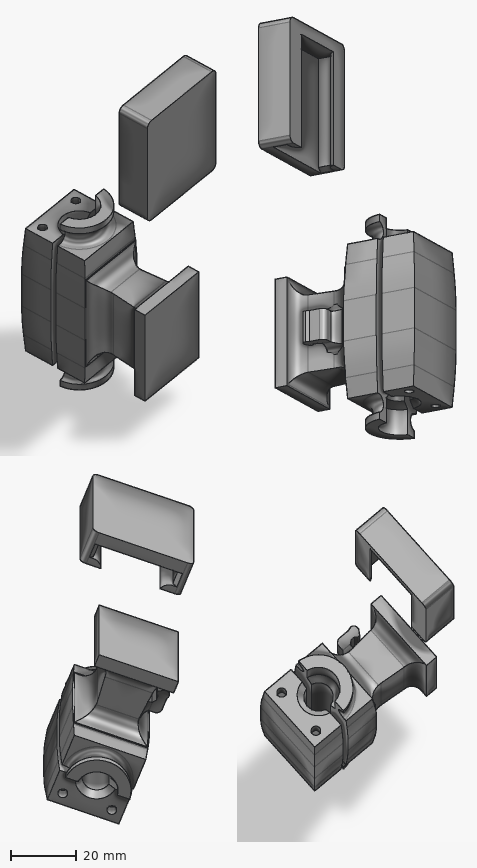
import cadquery as cq
import math


clamp_width = 25.1
clamp_height = 49.9
split_gap = 2.0
half_width = clamp_width / 2
half_height = clamp_height / 2

flat_half_height = 6.5
bulge_arc_height = 11.7
bulge_arc_inset = 0.4
taper_slope = math.tan(2 * math.atan(bulge_arc_inset / bulge_arc_height))
taper_height = half_height - flat_half_height - bulge_arc_height
taper_inset = taper_slope * taper_height

bore_diameter = 9.0
mouth_diameter = 13.1
cone_depth = (mouth_diameter - bore_diameter) / 2

pin_hole_diameter = 3.0
pin_hole_depth = 5.1
pin_hole_x = -8.0
pin_hole_spacing = 16.0

collar_diameter = 21.1
collar_height = 8.1
groove_radius = 3.0
groove_centre_radius = 11.2

neck_root_x = 19.2
neck_root_width = 14.0
neck_end_x = 27.9
neck_end_width = 15.6
neck_height = 25.0
root_fillet = 5.6
flange_front_x = 32.5
flange_back_x = 36.6
flange_width = 25.9
flange_height = 35.1
flange_ledge = 0.5
arm_embedment = 0.7

hook_height = 10.0
hook_left_x = 18.5
hook_right_x = 21.5
hook_tip_x = 26.7
hook_tip_top_y = 14.2
hook_tip_radius = 1.5
hook_tip_flat = 0.7
hook_barb_y = 10.3
hook_barb_width = 0.8
hook_top_y = 13.8
hook_corner = 1.9
hook_underside_y = 11.0
hook_underside_left_x = 22.7
hook_underside_right_x = 24.0
hook_foot_y = 10.0
hook_base_y = 5.3
hook_toe_x = 15.5
hook_toe_y = 8.4
hook_toe_radius = 3.6
foot_fillet = 3.1

receiver_front_x = 29.2
receiver_thickness = 11.2
receiver_width = 33.0
receiver_height = 40.6
receiver_bottom_z = 59.8
receiver_edge_radius = 2.0
slot_height = 36.6
slot_mouth_width = 19.2
slot_inner_width = 25.9
slot_shoulder_x = 31.6
slot_back_x = 36.5
slot_flare_radius = 3.6
lead_in_height = 1.5
lead_in_width = 1.3


def bulged_slab(plane):
    """Slab with the bulged outline in the given plane, wide enough to cover the clamp."""
    half_outline = (
        cq.Workplane(plane)
        .moveTo(0, -half_height)
        .lineTo(half_width - bulge_arc_inset - taper_inset, -half_height)
        .line(taper_inset, taper_height)
        .tangentArcPoint((bulge_arc_inset, bulge_arc_height))
        .line(0, 2 * flat_half_height)
        .tangentArcPoint((-bulge_arc_inset, bulge_arc_height))
        .line(-taper_inset, taper_height)
        .lineTo(0, half_height)
    )
    return half_outline.mirrorY().extrude(half_width, both=True)


def clamp_half(side):
    """Half of the bulged block on the given side of the split (-1 or +1 along X)."""
    block = bulged_slab("XZ").intersect(bulged_slab("YZ"))
    keep = cq.Workplane("XY").box(clamp_width, clamp_width, clamp_height)
    keep = keep.translate((side * (clamp_width + split_gap) / 2, 0, 0))
    return block.intersect(keep)


def bore_cutter():
    """Bore with a cone at each end of the clamp and a straight mouth beyond each cone."""
    bore_radius = bore_diameter / 2
    mouth_radius = mouth_diameter / 2
    collar_end = half_height + collar_height
    cone_bottom = half_height - cone_depth
    return (
        cq.Workplane("XZ")
        .polyline([
            (0, -collar_end),
            (mouth_radius, -collar_end),
            (mouth_radius, -half_height),
            (bore_radius, -cone_bottom),
            (bore_radius, cone_bottom),
            (mouth_radius, half_height),
            (mouth_radius, collar_end),
            (0, collar_end),
        ])
        .close()
        .revolve(360, (0, 0), (0, 1))
    )


def pin_holes():
    """Two blind holes in the top end and two in the bottom end."""
    holes = cq.Workplane("XY")
    for end_z in (-half_height, half_height):
        for y in (-pin_hole_spacing / 2, pin_hole_spacing / 2):
            hole = cq.Workplane("XY").circle(pin_hole_diameter / 2).extrude(pin_hole_depth, both=True)
            holes = holes.add(hole.translate((pin_hole_x, y, end_z)))
    return holes.combine()


def top_collar():
    """Grooved collar on the +X side of the split; its groove flares out onto the clamp's end."""
    collar_radius = collar_diameter / 2
    groove_z = half_height + groove_radius
    edge_rise = math.sqrt(groove_radius**2 - (groove_centre_radius - collar_radius) ** 2)
    groove_bottom = (groove_centre_radius - groove_radius, groove_z)
    groove_top = (collar_radius, groove_z + edge_rise)
    collar = (
        cq.Workplane("XZ")
        .moveTo(0, half_height)
        .lineTo(groove_centre_radius, half_height)
        .threePointArc(groove_bottom, groove_top)
        .lineTo(collar_radius, half_height + collar_height)
        .lineTo(0, half_height + collar_height)
        .close()
        .revolve(360, (0, 0), (0, 1))
    )
    keep = (
        cq.Workplane("XY")
        .box(clamp_width, clamp_width, 2 * collar_height)
        .translate(((clamp_width + split_gap) / 2, 0, half_height))
    )
    return collar.intersect(keep)


def arm():
    """Neck and flange: a plan outline crossed with a side outline."""
    start_x = half_width - arm_embedment
    flange_root = flange_width / 2 - flange_ledge
    flange_root_z = flange_height / 2 - flange_ledge
    plan = (
        cq.Workplane("XY")
        .moveTo(flange_back_x, 0)
        .lineTo(flange_back_x, flange_width / 2)
        .lineTo(flange_front_x, flange_width / 2)
        .lineTo(flange_front_x, flange_root)
        .radiusArc((neck_end_x, neck_end_width / 2), flange_front_x - neck_end_x)
        .lineTo(neck_root_x, neck_root_width / 2)
        .tangentArcPoint((half_width, half_width - flange_ledge), relative=False)
        .lineTo(start_x, half_width - flange_ledge)
        .lineTo(start_x, 0)
        .mirrorX()
        .extrude(flange_height / 2, both=True)
    )
    side = (
        cq.Workplane("XZ")
        .moveTo(flange_back_x, 0)
        .lineTo(flange_back_x, flange_height / 2)
        .lineTo(flange_front_x, flange_height / 2)
        .lineTo(flange_front_x, flange_root_z)
        .radiusArc((neck_end_x, neck_height / 2), flange_front_x - neck_end_x)
        .lineTo(half_width + root_fillet, neck_height / 2)
        .tangentArcPoint((half_width, neck_height / 2 + root_fillet), relative=False)
        .lineTo(start_x, neck_height / 2 + root_fillet)
        .lineTo(start_x, 0)
        .mirrorX()
        .extrude(flange_width / 2, both=True)
    )
    return plan.intersect(side)


def hook():
    """Hook whose foot flares onto the neck, lengthwise and across."""
    neck_y = neck_root_width / 2
    tip_centre_x = hook_tip_x - hook_tip_radius
    plan = (
        cq.Workplane("XY")
        .moveTo(hook_toe_x, hook_base_y)
        .lineTo(hook_toe_x, hook_toe_y)
        .radiusArc((hook_left_x, hook_foot_y), -hook_toe_radius)
        .lineTo(hook_left_x, hook_top_y - hook_corner)
        .tangentArcPoint((hook_corner, hook_corner))
        .lineTo(hook_underside_right_x, hook_top_y)
        .lineTo(tip_centre_x, hook_tip_top_y)
        .radiusArc((hook_tip_x, hook_tip_top_y - hook_tip_radius), hook_tip_radius)
        .lineTo(hook_tip_x, hook_tip_top_y - hook_tip_radius - hook_tip_flat)
        .lineTo(tip_centre_x + hook_barb_width / 2, hook_barb_y)
        .lineTo(tip_centre_x - hook_barb_width / 2, hook_barb_y)
        .lineTo(hook_underside_right_x, hook_underside_y)
        .lineTo(hook_underside_left_x, hook_underside_y)
        .lineTo(hook_right_x, hook_foot_y)
        .lineTo(hook_right_x, hook_base_y)
        .close()
        .extrude(flange_height / 2, both=True)
    )
    side = (
        cq.Workplane("YZ")
        .moveTo(hook_base_y, 0)
        .lineTo(hook_base_y, hook_height / 2 + foot_fillet)
        .lineTo(neck_y, hook_height / 2 + foot_fillet)
        .radiusArc((neck_y + foot_fillet, hook_height / 2), -foot_fillet)
        .lineTo(receiver_width / 2, hook_height / 2)
        .lineTo(receiver_width / 2, 0)
        .mirrorX()
        .extrude(receiver_front_x)
    )
    return plan.intersect(side)


def make_plain_half():
    """Clamp half with the pin holes."""
    return clamp_half(-1).cut(bore_cutter()).cut(pin_holes())


def make_arm_half():
    """Clamp half with both collars, the arm and the hook, bored last."""
    collar = top_collar()
    body = clamp_half(1).union(collar).union(collar.mirror("XY"))
    return body.union(arm()).union(hook()).cut(bore_cutter())


def make_receiver():
    """Round-edged block with a flared T-slot whose side walls open out at the bottom."""
    block = (
        cq.Workplane("XY")
        .box(receiver_thickness, receiver_width, receiver_height, centered=(False, True, False))
        .edges("|X")
        .fillet(receiver_edge_radius)
    )
    slot = (
        cq.Workplane("XY")
        .moveTo(receiver_front_x, 0)
        .lineTo(receiver_front_x, slot_mouth_width / 2)
        .radiusArc((slot_shoulder_x, slot_inner_width / 2), -slot_flare_radius)
        .lineTo(slot_back_x, slot_inner_width / 2)
        .lineTo(slot_back_x, 0)
        .mirrorX()
        .extrude(slot_height)
        .translate((0, 0, receiver_bottom_z))
    )
    lead_in = (
        cq.Workplane("YZ", origin=(slot_shoulder_x, 0, receiver_bottom_z))
        .lineTo(slot_inner_width / 2 + lead_in_width, 0)
        .lineTo(slot_inner_width / 2, lead_in_height)
        .lineTo(0, lead_in_height)
        .mirrorY()
        .extrude(slot_back_x - slot_shoulder_x)
    )
    return block.translate((receiver_front_x, 0, receiver_bottom_z)).cut(slot).cut(lead_in)


plain_half = make_plain_half().solids().val()
arm_half = make_arm_half().solids().val()
receiver = make_receiver().solids().val()

result = cq.Compound.makeCompound([plain_half, arm_half, receiver])